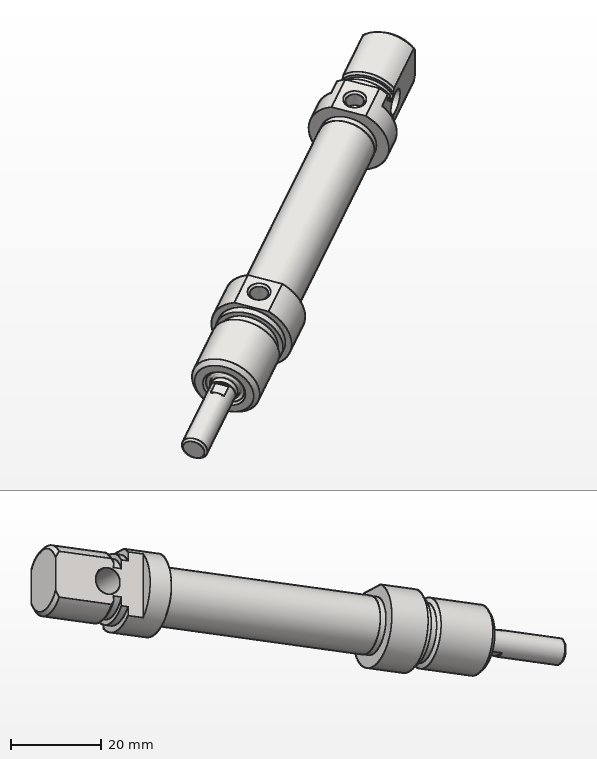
import cadquery as cq
import math


TOTAL_LENGTH = 129.0
CLEVIS_END = 14.5
REAR_GROOVE_END = 16.4
REAR_FLANGE_START = 18.0
FLANGE_LENGTH = 9.0
NECK_LENGTH = 1.4
FRONT_FLANGE_START = 82.0
SHOULDER_LENGTH = 1.5
FRONT_GROOVE_LENGTH = 2.5
NOSE_SHOULDER_TAPER = 0.5
FRONT_CAP_END = 109.0
ROD_SHOULDER = 110.0

REAR_FLANGE_END = REAR_FLANGE_START + FLANGE_LENGTH
FRONT_FLANGE_END = FRONT_FLANGE_START + FLANGE_LENGTH
FRONT_SHOULDER_END = FRONT_FLANGE_END + SHOULDER_LENGTH
NOSE_START = FRONT_SHOULDER_END + FRONT_GROOVE_LENGTH

FLANGE_DIAMETER = 19.0
NOSE_DIAMETER = 16.0
GROOVE_DIAMETER = 13.7
BARREL_DIAMETER = 13.3
NECK_DIAMETER = 13.2
ROD_DIAMETER = 6.2
ROD_END_DIAMETER = 6.0

FLANGE_HEIGHT = 18.0
FLANGE_TOP = FLANGE_HEIGHT - FLANGE_DIAMETER / 2
CLEVIS_WIDTH = 12.0
CLEVIS_FLAT_END = 21.8
REAR_CHAMFER = 0.9
CLEVIS_FRONT_CHAMFER = 0.5
NOSE_CHAMFER = 1.0

PIVOT_DIAMETER = 6.0
PIVOT_POSITION = 13.0
PORT_DIAMETER = 4.1
PORT_MOUTH_DIAMETER = 5.2
PORT_INSET = 4.0
PORT_DEPTH = 4.0
DRILL_POINT_ANGLE = 118.0

SEAT_MOUTH_DIAMETER = 10.0
SEAT_DIAMETER = 9.0
SEAT_CHAMFER_DEPTH = 0.5
SEAT_DEPTH = 1.5
SEAL_HUB_DIAMETER = 7.1
LIP_SETBACK = 0.1

WRENCH_FLAT_START = 110.4
WRENCH_FLAT_LENGTH = 3.1
WRENCH_FLAT_WIDTH = 5.2
ROD_CHAMFER = 0.5


def along_y(station):
    """Y coordinate of a station; the part is centred on the origin."""
    return TOTAL_LENGTH / 2 - station


def turned(profile):
    """Revolve (radius, station) points about the Y axis."""
    points = [(radius, along_y(station)) for radius, station in profile]
    return cq.Workplane("XY").polyline(points).close().revolve(360, (0, 0, 0), (0, 1, 0))


def slab(start, end, x_min, x_max, z_min, z_max):
    """Box between two stations and the given X and Z limits."""
    return (
        cq.Workplane("XY")
        .box(x_max - x_min, end - start, z_max - z_min, centered=False)
        .translate((x_min, along_y(end), z_min))
    )


def flange(start):
    """Round flange with a flat top for the air port."""
    end = start + FLANGE_LENGTH
    radius = FLANGE_DIAMETER / 2
    disc = turned([(0, start), (radius, start), (radius, end), (0, end)])
    return disc.cut(slab(start, end, -radius, radius, FLANGE_TOP, radius))


def port(station, profile_bottom):
    """Countersunk vertical port; profile_bottom lists its lower (radius, Z) points."""
    bore = PORT_DIAMETER / 2
    mouth = PORT_MOUTH_DIAMETER / 2
    countersink = mouth - bore
    profile = [(0, FLANGE_TOP), (mouth, FLANGE_TOP), (bore, FLANGE_TOP - countersink)] + profile_bottom
    return (
        cq.Workplane("XZ")
        .polyline(profile)
        .close()
        .revolve(360, (0, 0, 0), (0, 1, 0))
        .translate((0, along_y(station), 0))
    )


def rear_cap():
    nose = NOSE_DIAMETER / 2
    groove = GROOVE_DIAMETER / 2
    body = turned([
        (0, 0),
        (nose - REAR_CHAMFER, 0),
        (nose, REAR_CHAMFER),
        (nose, CLEVIS_END - CLEVIS_FRONT_CHAMFER),
        (nose - CLEVIS_FRONT_CHAMFER, CLEVIS_END),
        (groove, CLEVIS_END),
        (groove, REAR_GROOVE_END),
        (nose, REAR_GROOVE_END),
        (nose, REAR_FLANGE_START),
        (0, REAR_FLANGE_START),
    ]).union(flange(REAR_FLANGE_START))

    outer = FLANGE_DIAMETER / 2
    half_width = CLEVIS_WIDTH / 2
    for x_min, x_max in ((-outer, -half_width), (half_width, outer)):
        body = body.cut(slab(0, CLEVIS_FLAT_END, x_min, x_max, -outer, outer))

    pivot = (
        cq.Workplane("YZ", origin=(0, along_y(PIVOT_POSITION), 0))
        .circle(PIVOT_DIAMETER / 2)
        .extrude(half_width, both=True)
    )
    bore = PORT_DIAMETER / 2
    shoulder = FLANGE_TOP - PORT_DEPTH
    point = shoulder - bore / math.tan(math.radians(DRILL_POINT_ANGLE / 2))
    blind_port = port(REAR_FLANGE_END - PORT_INSET, [(bore, shoulder), (0, point)])
    return body.cut(pivot).cut(blind_port)


def barrel():
    radius = BARREL_DIAMETER / 2
    neck = NECK_DIAMETER / 2
    return turned([
        (0, REAR_FLANGE_END),
        (neck, REAR_FLANGE_END),
        (neck, REAR_FLANGE_END + NECK_LENGTH),
        (radius, REAR_FLANGE_END + NECK_LENGTH),
        (radius, FRONT_FLANGE_START - NECK_LENGTH),
        (neck, FRONT_FLANGE_START - NECK_LENGTH),
        (neck, FRONT_FLANGE_START),
        (0, FRONT_FLANGE_START),
    ])


def seal_seat():
    """Ring groove with a rounded floor around a round-tipped sealing lip."""
    mouth = SEAT_MOUTH_DIAMETER / 2
    seat = SEAT_DIAMETER / 2
    hub = SEAL_HUB_DIAMETER / 2
    rod_bore = ROD_DIAMETER / 2
    floor_radius = (seat - hub) / 2
    tip_radius = (hub - rod_bore) / 2
    face_y = along_y(FRONT_CAP_END)
    floor_y = along_y(FRONT_CAP_END - SEAT_DEPTH)
    tip_y = face_y + LIP_SETBACK
    return (
        cq.Workplane("XY")
        .moveTo(0, face_y)
        .lineTo(mouth, face_y)
        .lineTo(seat, face_y + SEAT_CHAMFER_DEPTH)
        .lineTo(seat, floor_y - floor_radius)
        .threePointArc((seat - floor_radius, floor_y), (hub, floor_y - floor_radius))
        .lineTo(hub, tip_y + tip_radius)
        .threePointArc((hub - tip_radius, tip_y), (rod_bore, tip_y + tip_radius))
        .lineTo(0, tip_y + tip_radius)
        .close()
        .revolve(360, (0, 0, 0), (0, 1, 0))
    )


def front_cap():
    nose = NOSE_DIAMETER / 2
    groove = GROOVE_DIAMETER / 2
    body = turned([
        (0, FRONT_FLANGE_END),
        (nose, FRONT_FLANGE_END),
        (nose, FRONT_SHOULDER_END),
        (groove, FRONT_SHOULDER_END),
        (groove, NOSE_START - NOSE_SHOULDER_TAPER),
        (nose, NOSE_START),
        (nose, FRONT_CAP_END - NOSE_CHAMFER),
        (nose - NOSE_CHAMFER, FRONT_CAP_END),
        (0, FRONT_CAP_END),
    ])
    body = body.union(flange(FRONT_FLANGE_START)).cut(seal_seat())

    rod_bore = ROD_DIAMETER / 2
    rod_hole = turned([
        (0, FRONT_FLANGE_START),
        (rod_bore, FRONT_FLANGE_START),
        (rod_bore, FRONT_CAP_END),
        (0, FRONT_CAP_END),
    ])
    bore = PORT_DIAMETER / 2
    port_to_rod = port(FRONT_FLANGE_START + PORT_INSET, [(bore, 0), (0, 0)])
    return body.cut(rod_hole).cut(port_to_rod)


def rod():
    radius = ROD_DIAMETER / 2
    end_radius = ROD_END_DIAMETER / 2
    body = turned([
        (0, FRONT_FLANGE_START),
        (radius, FRONT_FLANGE_START),
        (radius, ROD_SHOULDER),
        (end_radius, ROD_SHOULDER),
        (end_radius, TOTAL_LENGTH - ROD_CHAMFER),
        (end_radius - ROD_CHAMFER, TOTAL_LENGTH),
        (0, TOTAL_LENGTH),
    ])
    flat_end = WRENCH_FLAT_START + WRENCH_FLAT_LENGTH
    half_width = WRENCH_FLAT_WIDTH / 2
    for z_min, z_max in ((-radius, -half_width), (half_width, radius)):
        body = body.cut(slab(WRENCH_FLAT_START, flat_end, -radius, radius, z_min, z_max))
    return body


result = cq.Compound.makeCompound([rear_cap().val(), barrel().val(), front_cap().val(), rod().val()])